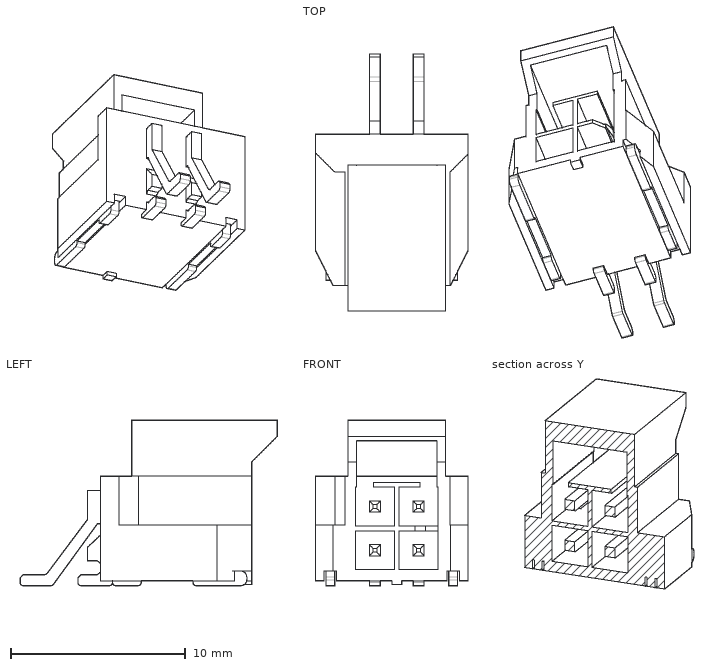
import cadquery as cq

body_left = -4.66
body_width = 8.74
body_right = body_left + body_width
body_middle = (body_left + body_right) / 2
body_depth = 8.68
body_bottom = 0.28
body_top = 6.28
corner_cut_x = 1.0
corner_cut_y = 1.99

shelf_z = 3.5
recess_left = -2.98
recess_right = 3.05
recess_end = 6.5
recess_slope = 1.1

hood_width = 5.6
hood_opening = 4.6
hood_top = 9.49
hood_overhang = 1.46
hood_lip = 0.93
hood_rear = 6.9
roof_thickness = 1.2

cavity_width = 4.72
cavity_floor = 0.95
cavity_top = 5.65
cavity_rear = hood_rear
divider_thickness = 0.27
shelf_wall_bottom = 3.12
shelf_wall_thickness = 0.3
cap_width = 2.68
cap_thickness = 0.27
tongue_front = 1.05
tongue_side = 1.64
tongue_slot_depth = cavity_rear / 2

pin_pitch = 2.5
pin_size = 0.63
pin_tip = 0.22
pin_taper = 0.65
pin_front = 1.47
pin_xs = (-pin_pitch / 2, pin_pitch / 2)
pin_lower_z = 2.03
pin_zs = (pin_lower_z, pin_lower_z + pin_pitch)

lead_embedding = 0.44
lead_anchor = body_depth - lead_embedding
lead_rear = 9.43
foot_height = 0.63
foot_chamfer = 0.18
foot_radius = 0.18
overall_length = 14.74
upper_foot_end = overall_length - hood_overhang
lower_foot_end = 9.98
lead_bend_radius = 0.3

channel_offset = 3.52
channel_width = 0.7
channel_top = 0.84
strip_width = 0.52
strip_front = 0.3
strip_nose_radius = 0.34
strip_rear = 7.99
front_foot_rear = 3.38
rear_foot_front = 6.34

key_width = 0.57
key_bottom = 0.06


def block(x0, x1, y0, y1, z0, z1):
    """Box between two corners."""
    return cq.Workplane("XY").box(x1 - x0, y1 - y0, z1 - z0, centered=False).translate((x0, y0, z0))


def centred_block(width, y0, y1, z0, z1):
    """Box centred on X = 0."""
    return block(-width / 2, width / 2, y0, y1, z0, z1)


def side_plate(points, width, x):
    """Profile of (y, z) points, extruded along X and centred on x."""
    plate = cq.Workplane("YZ").polyline(points).close().extrude(width / 2, both=True)
    return plate.translate((x, 0, 0))


def make_body():
    outline = [
        (body_left + corner_cut_x, 0),
        (body_right - corner_cut_x, 0),
        (body_right, corner_cut_y),
        (body_right, body_depth),
        (body_left, body_depth),
        (body_left, corner_cut_y),
    ]
    body = cq.Workplane("XY").polyline(outline).close().extrude(body_top - body_bottom)
    return body.translate((0, 0, body_bottom))


def make_recess(wall_x, side_x, slope_x):
    """Open-topped side recess whose rear end slopes out from slope_x to the body side."""
    slope_end = recess_end + abs(side_x - slope_x)
    slope = [(slope_x, recess_end), (side_x, slope_end), (side_x, recess_end)]
    wedge = cq.Workplane("XY").polyline(slope).close().extrude(body_top - shelf_z)
    pocket = block(min(wall_x, side_x), max(wall_x, side_x), 0, recess_end, shelf_z, body_top)
    return pocket.union(wedge.translate((0, 0, shelf_z)))


def make_hood():
    lip_bottom = hood_top - hood_lip
    profile = [
        (-hood_overhang, hood_top),
        (-hood_overhang, lip_bottom),
        (0, lip_bottom - hood_overhang),
        (0, body_top),
        (hood_rear, body_top),
        (hood_rear, hood_top),
    ]
    return side_plate(profile, hood_width, 0)


def make_dividers():
    """T-shaped upright divider and the cross wall, slotted at its right end."""
    shelf_wall_top = shelf_wall_bottom + shelf_wall_thickness
    upright = centred_block(divider_thickness, 0, cavity_rear, cavity_floor, cavity_top)
    cap = centred_block(cap_width, 0, cavity_rear, cavity_top, cavity_top + cap_thickness)
    cross_wall = centred_block(cavity_width, 0, cavity_rear, shelf_wall_bottom, shelf_wall_top)
    slot_outline = [
        (tongue_front, 0),
        (tongue_side, tongue_side - tongue_front),
        (tongue_side, tongue_slot_depth),
        (cavity_width / 2, tongue_slot_depth),
        (cavity_width / 2, 0),
    ]
    slot = cq.Workplane("XY").polyline(slot_outline).close().extrude(shelf_wall_thickness)
    cross_wall = cross_wall.cut(slot.translate((0, 0, shelf_wall_bottom)))
    return upright.union(cap).union(cross_wall)


def make_pin(x, z):
    """Square pin with a blunt pyramid tip, rooted in the rear wall."""
    taper_end = pin_front + pin_taper
    half = pin_size / 2
    shank = block(x - half, x + half, taper_end, body_depth, z - half, z + half)
    tip = (
        cq.Workplane("XZ", origin=(x, taper_end, z))
        .rect(pin_size, pin_size)
        .workplane(offset=pin_taper)
        .rect(pin_tip, pin_tip)
        .loft(combine=True)
    )
    return shank.union(tip)


def round_corners(plate, x, corners, radius):
    """Round the edges of a side plate that run along X through the (y, z) corners."""
    for y, z in corners:
        edge = cq.selectors.NearestToPointSelector((x, y, z))
        plate = plate.edges(edge).fillet(radius)
    return plate


def make_upper_lead(x):
    bend = (11.79, foot_height)
    heel = (11.42, 0)
    foot_corners = [(upper_foot_end, 0), heel]
    slope_inner_y = 8.85
    stub_top = 5.47
    stub_bottom = 3.55
    slope_top = 3.79
    profile = [
        (lead_anchor, stub_top),
        (lead_rear, stub_top),
        (lead_rear, slope_top),
        bend,
        (upper_foot_end - foot_chamfer, foot_height),
        (upper_foot_end, foot_height - foot_chamfer),
        *foot_corners,
        (slope_inner_y, stub_bottom),
        (lead_anchor, stub_bottom),
    ]
    lead = side_plate(profile, pin_size, x)
    lead = round_corners(lead, x, [bend], lead_bend_radius)
    return round_corners(lead, x, foot_corners, foot_radius)


def make_lower_lead(x):
    stub_top = 2.9
    stub_shoulder = 2.2
    foot_corners = [(lower_foot_end, 0), (strip_rear, 0)]
    slot_end = 8.87
    slot_top = 1.43
    slot_corner = 0.15
    profile = [
        (lead_anchor, stub_top),
        (body_depth, stub_top),
        (lead_rear, stub_shoulder),
        (lead_rear, slot_top),
        (slot_end, slot_top),
        (body_depth, slot_top - slot_corner),
        (body_depth, foot_height + slot_corner),
        (slot_end, foot_height),
        (lower_foot_end - foot_chamfer, foot_height),
        (lower_foot_end, foot_height - foot_chamfer),
        *foot_corners,
        (strip_rear, foot_height),
        (lead_anchor, foot_height),
    ]
    return round_corners(side_plate(profile, pin_size, x), x, foot_corners, foot_radius)


def make_hold_down(x):
    """Strip filling the channel height, with a rounded nose and two feet."""
    nose_corners = [(strip_front, channel_top), (strip_front, 0)]
    foot_corners = [(front_foot_rear, 0), (rear_foot_front, 0), (strip_rear, 0)]
    profile = [
        *nose_corners,
        (front_foot_rear, 0),
        (front_foot_rear, body_bottom),
        (rear_foot_front, body_bottom),
        (rear_foot_front, 0),
        (strip_rear, 0),
        (strip_rear, channel_top),
    ]
    strip = side_plate(profile, strip_width, x)
    strip = round_corners(strip, x, nose_corners, strip_nose_radius)
    return round_corners(strip, x, foot_corners, foot_radius)


result = make_body()
result = result.cut(make_recess(recess_left, body_left, body_left + recess_slope))
result = result.cut(make_recess(recess_right, body_right, recess_right))
result = result.union(make_hood())
result = result.cut(
    centred_block(hood_opening, -hood_overhang, cavity_rear, cavity_top, hood_top - roof_thickness)
)
result = result.cut(centred_block(cavity_width, 0, cavity_rear, cavity_floor, cavity_top))
result = result.union(make_dividers())
result = result.union(centred_block(key_width, 0, key_width, key_bottom, body_bottom))

for pin_x in pin_xs:
    for pin_z in pin_zs:
        result = result.union(make_pin(pin_x, pin_z))
    result = result.union(make_upper_lead(pin_x))
    result = result.union(make_lower_lead(pin_x))

for side in (-1, 1):
    strip_x = body_middle + side * channel_offset
    half_channel = channel_width / 2
    channel = block(
        strip_x - half_channel, strip_x + half_channel, 0, body_depth, body_bottom, channel_top
    )
    result = result.cut(channel).union(make_hold_down(strip_x))